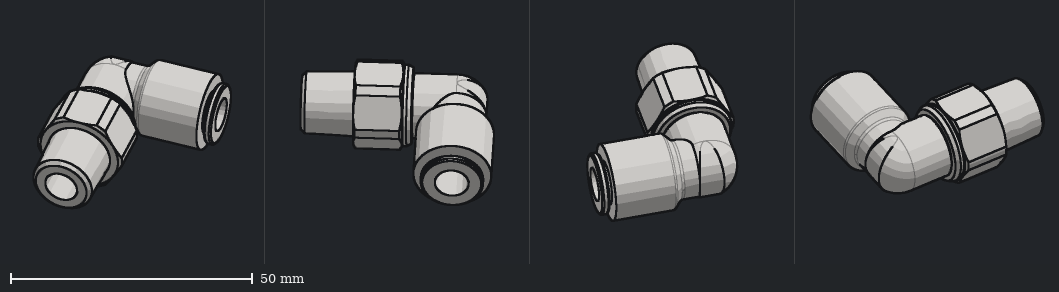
import cadquery as cq
import math


body_radius = 6.75
body_end = 8.98
crown_height = 6.25
trim_clearance = 0.01
gap_radius = 6.45

collar_radius = 8.45
collar_top_radius = 7.9
collar_start = 9.18
collar_bevel_length = 0.95
collar_end_bevel = 0.2

hex_across_flats = 17.03
hex_corner_radius = 9.25
hex_start = 11.1
hex_end = 21.17
hex_bevel_angle = 30
hex_bevel_depth = hex_corner_radius - hex_across_flats / 2
hex_bevel_length = hex_bevel_depth * math.tan(math.radians(hex_bevel_angle))

stem_end = 32.15
thread_radius = 6.75
thread_taper = 1 / 32
thread_bevel_length = 0.9
stem_end_radius = 5.6

sleeve_radius = 8.1
cone_start = 6.25
cone_end = 7.95
sleeve_end = 21.0
cone_base_round = 0.9
cone_rim_round = 0.6
release_neck_radius = 4.6
flange_radius = 6.5
flange_start = 21.9
flange_end = 23.5
flange_bevel = 0.35

bore_radius = 3.5


def stem_cylinder(radius, start, end):
    """Cylinder on the stem axis between two distances from the origin."""
    return cq.Workplane("XZ", origin=(0, -start, 0)).circle(radius).extrude(end - start)


def stem_revolve(profile):
    """Revolve (radius, distance) points about the stem axis."""
    points = [(radius, -distance) for radius, distance in profile]
    return cq.Workplane("XY").polyline(points).close().revolve(360, (0, 0), (0, 1))


def branch_cylinder(radius, start, end):
    """Cylinder on the branch axis between two X positions."""
    return cq.Workplane("YZ", origin=(start, 0, 0)).circle(radius).extrude(end - start)


def make_elbow():
    """Upright cylinder under a dome whose crown is trimmed to the branch height."""
    side_reach = body_radius + trim_clearance
    drop = (side_reach**2 - crown_height**2) / (2 * crown_height)
    trim_radius = crown_height + drop
    trim = (
        cq.Workplane("YZ", origin=(-2 * body_radius, 0, 0))
        .center(-drop, 0)
        .circle(trim_radius)
        .extrude(4 * body_radius)
    )
    dome = (
        cq.Workplane("XY")
        .moveTo(0, 0)
        .lineTo(body_radius, 0)
        .radiusArc((0, body_radius), -body_radius)
        .close()
        .revolve(360, (0, 0), (0, 1))
    )
    return dome.intersect(trim).union(stem_cylinder(body_radius, 0, body_end))


def make_collar():
    """Bevelled swivel ring and the narrow gap below the elbow body."""
    ring = stem_revolve([
        (0, collar_start),
        (collar_top_radius, collar_start),
        (collar_radius, collar_start + collar_bevel_length),
        (collar_radius, hex_start - collar_end_bevel),
        (collar_radius - collar_end_bevel, hex_start),
        (0, hex_start),
    ])
    return ring.union(stem_cylinder(gap_radius, body_end, hex_start))


def make_hexagon():
    """Hexagon with turned corners and bevelled ends."""
    across_corners = hex_across_flats / math.cos(math.radians(30))
    hexagon = (
        cq.Workplane("XZ", origin=(0, -hex_start, 0))
        .polygon(6, across_corners)
        .extrude(hex_end - hex_start)
    )
    turned = stem_revolve([
        (0, hex_start),
        (hex_across_flats / 2, hex_start),
        (hex_corner_radius, hex_start + hex_bevel_length),
        (hex_corner_radius, hex_end - hex_bevel_length),
        (hex_across_flats / 2, hex_end),
        (0, hex_end),
    ])
    return hexagon.intersect(turned)


def make_thread():
    """Plain tapered stem with a bevelled end."""
    bevel_start = stem_end - thread_bevel_length
    bevel_radius = thread_radius - thread_taper * (bevel_start - hex_end)
    return stem_revolve([
        (0, hex_end),
        (thread_radius, hex_end),
        (bevel_radius, bevel_start),
        (stem_end_radius, stem_end),
        (0, stem_end),
    ])


def make_branch():
    """Neck, cone-ended sleeve and flanged release ring."""
    sleeve = (
        cq.Workplane("XY")
        .moveTo(0, 0)
        .lineTo(0, crown_height)
        .lineTo(cone_start, crown_height)
        .lineTo(cone_end, sleeve_radius)
        .lineTo(sleeve_end, sleeve_radius)
        .lineTo(sleeve_end, 0)
        .close()
        .revolve(360, (0, 0), (1, 0))
    )
    sleeve = sleeve.faces("%CONE").edges("<X").fillet(cone_base_round)
    sleeve = sleeve.faces("%CONE").edges(">X").fillet(cone_rim_round)
    neck = branch_cylinder(release_neck_radius, sleeve_end, flange_start)
    flange = branch_cylinder(flange_radius, flange_start, flange_end)
    flange = flange.edges("%CIRCLE").chamfer(flange_bevel)
    return sleeve.union(neck).union(flange)


def make_passage():
    """Stem and branch bores of equal size, each ending in a 45-degree drill point."""
    stem_bore = stem_revolve([
        (0, stem_end),
        (bore_radius, stem_end),
        (bore_radius, 0),
        (0, -bore_radius),
    ])
    branch_bore = (
        cq.Workplane("XY")
        .polyline([(-bore_radius, 0), (0, bore_radius), (flange_end, bore_radius), (flange_end, 0)])
        .close()
        .revolve(360, (0, 0), (1, 0))
    )
    mitre = cq.Plane(origin=(0, 0, 0), xDir=(0, 0, 1), normal=(1, 1, 0))
    half_space = cq.Workplane(mitre).rect(2 * stem_end, 2 * stem_end).extrude(2 * stem_end)
    return stem_bore.cut(half_space).union(branch_bore.intersect(half_space))


fitting = make_elbow()
for section in (make_collar(), make_hexagon(), make_thread(), make_branch()):
    fitting = fitting.union(section)

result = fitting.cut(make_passage())